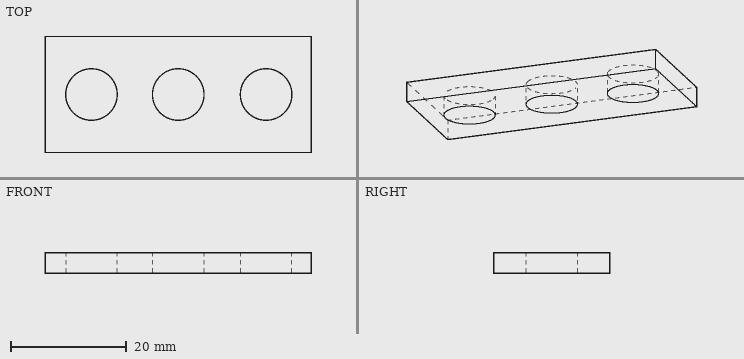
import cadquery as cq

length = 45.95
width = 20.1
thickness = 3.6

hole_diameter = 8.85
left_spacing = 15.0
right_spacing = 15.15
hole_centres = [(-left_spacing, 0), (0, 0), (right_spacing, 0)]

plate = cq.Workplane("XY").box(length, width, thickness)

result = (
    plate.faces(">Z")
    .workplane()
    .pushPoints(hole_centres)
    .hole(hole_diameter)
)